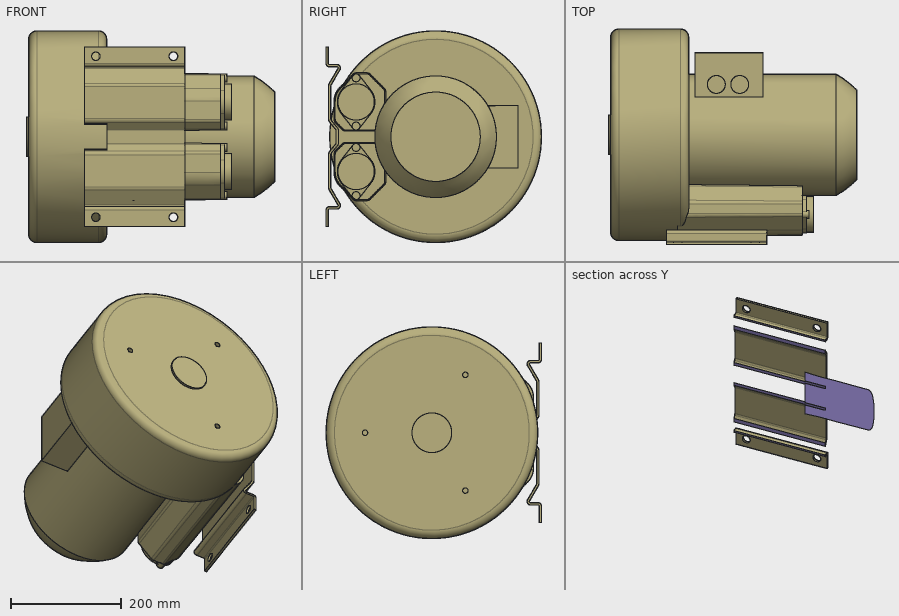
import cadquery as cq
import math


hub_height = 3.5
hub_radius = 36.0
housing_front = hub_height
housing_back = 144.5
housing_radius = 191.05
rim_radius = 15.2
screw_hole_count = 3
screw_hole_circle = 120.5
screw_hole_diameter = 10.0
screw_hole_depth = 9.0

pipe_start = 124.5
pipe_end = 349.5
pipe_draft = 0.6
pipe_center_z = 62.5
pipe_half_height = 50.5
pipe_outer_y = -181.0
pipe_inner_y = -92.0
pipe_outer_bevel = 36.0
pipe_inner_bevel = 29.5
pipe_shaft_bevel = 16.0
pipe_round = 32.3
pipe_small_round = 7.0
outlet_y = -143.5
outlet_radius = 32.5
outlet_end = 370.0
flange_end = 357.0
flange_radius = 34.0
ear_radius = 7.0
ear_end = 361.0

motor_radius = 109.8
cone_start = 410.0
motor_end = 448.0
cone_end_radius = 80.5
cone_bulge = 2.0
box_start = 156.0
box_end = 278.5
box_inner_y = 68.5
box_outer_y = 148.5
box_half_height = 56.0
gland_radius = 16.0
gland_depth = 1.0
gland_y = 91.0
gland_spacing = 42.0
gland_center_x = 215.5

foot_start = 104.5
foot_length = 181.0
foot_half_height = 162.0
foot_face_y = -197.8
sheet = 4.5
tight_bend_radius = 4.0
soft_bend_radius = 8.5
web_step = 4.5
channel_depth = 13.5
shelf_z = 128.0
shelf_y = -170.5
web_top_z = 93.0
web_bottom_z = 29.5
channel_half_width = 13.5
foot_notch_half_height = 22.5
foot_hole_diameter = 15.2
foot_hole_z = 145.0
foot_hole_inset = 20.5


def cylinder_x(radius, start, end, y=0, z=0):
    """Cylinder along X between two X positions."""
    return cq.Workplane("YZ", origin=(start, y, z)).circle(radius).extrude(end - start)


def distance(vertex, point):
    """Distance between a vertex and a point."""
    return (vertex.Center() - point).Length


def make_motor():
    """Cylindrical motor with a slightly bulging conical fan cover, and a terminal box set into its +Y side."""
    cone_length = motor_end - cone_start
    cone_drop = motor_radius - cone_end_radius
    cone_side = math.hypot(cone_length, cone_drop)
    cone_middle = (
        cone_start + cone_length / 2 + cone_bulge * cone_drop / cone_side,
        motor_radius - cone_drop / 2 + cone_bulge * cone_length / cone_side,
    )
    motor = (
        cq.Workplane("XY")
        .moveTo(housing_back, 0)
        .lineTo(housing_back, motor_radius)
        .lineTo(cone_start, motor_radius)
        .threePointArc(cone_middle, (motor_end, cone_end_radius))
        .lineTo(motor_end, 0)
        .close()
        .revolve(360, (0, 0, 0), (1, 0, 0))
    )

    box_length = box_end - box_start
    box_depth = box_outer_y - box_inner_y
    box_corner = cq.Workplane("XY", origin=(box_start, box_inner_y, -box_half_height))
    box = box_corner.rect(box_length, box_depth, centered=False).extrude(2 * box_half_height)
    clearance = (
        box_corner.workplane(offset=2 * box_half_height)
        .rect(box_length, box_depth, centered=False)
        .extrude(motor_radius)
    )
    glands = (
        cq.Workplane("XY", origin=(gland_center_x, gland_y, box_half_height - gland_depth))
        .rarray(gland_spacing, 4.5, 2, 1)
        .circle(gland_radius)
        .extrude(gland_depth)
    )
    return motor.cut(clearance).union(box).cut(glands)


def make_pipe_body():
    """Bevelled upper pipe, drawn at its free end and widening towards the housing."""
    top_z = pipe_center_z + pipe_half_height
    bottom_z = pipe_center_z - pipe_half_height
    section = [
        (pipe_outer_y, bottom_z + pipe_shaft_bevel),
        (pipe_outer_y, top_z - pipe_outer_bevel),
        (pipe_outer_y + pipe_outer_bevel, top_z),
        (pipe_inner_y - pipe_inner_bevel, top_z),
        (pipe_inner_y, top_z - pipe_inner_bevel),
        (pipe_inner_y, bottom_z),
        (pipe_outer_y + pipe_shaft_bevel, bottom_z),
    ]
    outline = cq.Wire.makePolygon([cq.Vector(pipe_end, y, z) for y, z in section], close=True)

    wide_corner = cq.Vector(pipe_end, *section[1])
    small_corners = [vertex for vertex in outline.Vertices() if distance(vertex, wide_corner) > pipe_round]
    outline = outline.fillet2D(pipe_small_round, small_corners)
    nearest = min(outline.Vertices(), key=lambda vertex: distance(vertex, wide_corner))
    outline = outline.fillet2D(pipe_round, [nearest])
    return cq.Workplane("YZ").add(outline).toPending().extrude(pipe_start - pipe_end, taper=-pipe_draft)


def make_flange():
    """Oval flange: a round middle joined by tangents to an ear above and an ear below."""
    ear_offset = pipe_half_height - ear_radius
    tangent_angle = math.asin((flange_radius - ear_radius) / ear_offset)
    tangent_y = math.cos(tangent_angle)
    tangent_z = math.sin(tangent_angle)
    middle_y = flange_radius * tangent_y
    middle_z = flange_radius * tangent_z
    ear_y = ear_radius * tangent_y
    ear_z = ear_offset + ear_radius * tangent_z
    plate = (
        cq.Workplane("YZ", origin=(pipe_end, outlet_y, pipe_center_z))
        .moveTo(middle_y, -middle_z)
        .threePointArc((flange_radius, 0), (middle_y, middle_z))
        .lineTo(ear_y, ear_z)
        .threePointArc((0, pipe_half_height), (-ear_y, ear_z))
        .lineTo(-middle_y, middle_z)
        .threePointArc((-flange_radius, 0), (-middle_y, -middle_z))
        .lineTo(-ear_y, -ear_z)
        .threePointArc((0, -pipe_half_height), (ear_y, -ear_z))
        .close()
        .extrude(flange_end - pipe_end)
    )
    for side in (-1, 1):
        ear = cylinder_x(ear_radius, pipe_end, ear_end, outlet_y, pipe_center_z + side * ear_offset)
        plate = plate.union(ear)
    return plate


def make_silencer():
    """Upper pipe with its flange and outlet."""
    outlet = cylinder_x(outlet_radius, pipe_end, outlet_end, outlet_y, pipe_center_z)
    return make_pipe_body().union(make_flange()).union(outlet)


def make_housing(motor, foot):
    """Round housing with both silencers, shaped to clear the motor and the foot."""
    housing = cylinder_x(housing_radius, housing_front, housing_back).edges().fillet(rim_radius)
    upper = make_silencer()

    square_rim = cylinder_x(housing_radius, pipe_start, housing_back).intersect(
        cq.Workplane("XY", origin=(housing_back, -housing_radius, 0)).box(
            2 * housing_back, 2 * (housing_radius + pipe_inner_y), 2 * pipe_center_z
        )
    )
    housing = housing.union(square_rim)
    for silencer in (upper, upper.mirror("XY")):
        housing = housing.union(silencer)
    housing = housing.union(cylinder_x(hub_radius, 0, housing_front + rim_radius))
    screw_holes = (
        cq.Workplane("YZ", origin=(housing_front, 0, 0))
        .polarArray(screw_hole_circle, 0, 360, screw_hole_count)
        .circle(screw_hole_diameter / 2)
        .extrude(screw_hole_depth)
    )
    motor_space = cylinder_x(motor_radius, housing_back, motor_end)
    return housing.cut(screw_holes).cut(motor_space).cut(foot)


def make_foot():
    """Bent sheet foot: end flanges, a raised shelf at each, two webs and a channel between them."""
    flange_y = foot_face_y + sheet / 2
    web_y = flange_y + web_step
    channel_y = web_y + channel_depth
    upper_half = [
        (flange_y, foot_half_height + sheet),
        (flange_y, shelf_z),
        (shelf_y, shelf_z),
        (web_y, web_top_z),
        (web_y, web_bottom_z),
        (channel_y, channel_half_width),
    ]
    lower_half = [(y, -z) for y, z in reversed(upper_half)]
    points = [cq.Vector(foot_start, y, z) for y, z in upper_half + lower_half]
    center_line = cq.Wire.makePolygon(points)
    tight_bends = [v for v in center_line.Vertices()[1:-1] if not math.isclose(v.Y, web_y)]
    center_line = center_line.fillet(tight_bend_radius, tight_bends)
    soft_bends = [v for v in center_line.Vertices() if math.isclose(v.Y, web_y)]
    center_line = center_line.fillet(soft_bend_radius, soft_bends)
    outline = center_line.offset2D(sheet / 2)[0]
    strip = cq.Workplane(cq.Solid.extrudeLinear(outline, [], cq.Vector(foot_length, 0, 0)))

    length_limit = cq.Workplane("XY").box(4 * foot_length, 4 * housing_radius, 2 * foot_half_height)
    strip = strip.intersect(length_limit)

    notch_length = housing_back - foot_start
    notch = cq.Workplane("XY", origin=(foot_start + notch_length / 2, 0, 0)).box(
        notch_length, 4 * housing_radius, 2 * foot_notch_half_height
    )
    holes = (
        cq.Workplane("XZ", origin=(foot_start + foot_length / 2, 0, 0))
        .rarray(foot_length - 2 * foot_hole_inset, 2 * foot_hole_z, 2, 2)
        .circle(foot_hole_diameter / 2)
        .extrude(-2 * foot_face_y)
    )
    return strip.cut(notch).cut(holes)


motor = make_motor()
foot = make_foot()
housing = make_housing(motor, foot)

result = cq.Compound.makeCompound([housing.val(), motor.val(), foot.val()])